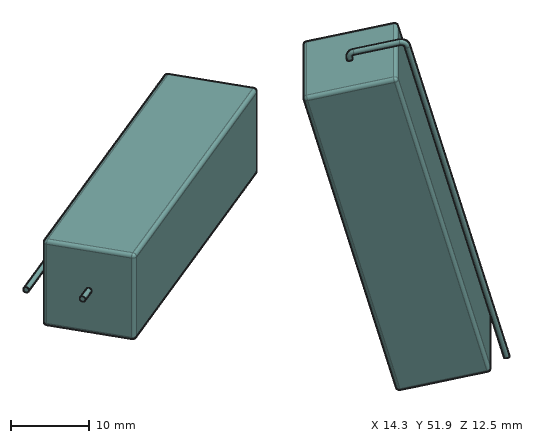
import cadquery as cq

body_side = 12.5
body_length = 48.05
edge_radius = 0.5

wire_diameter = 0.8
front_reach = 2.45
back_reach = 1.4
overall_width = 14.25
bend_radius = 0.8

wire_radius = wire_diameter / 2
front_face = -body_length / 2
back_face = body_length / 2
lead_end = front_face - front_reach
return_x = body_side / 2 - overall_width + wire_radius
crossing_y = back_face + back_reach - wire_radius
embed_depth = 0.5


def make_body():
    """Square block with all edges rounded."""
    block = cq.Workplane("XY").box(body_side, body_length, body_side)
    return block.edges().fillet(edge_radius)


def make_straight_lead():
    """Short pin at the centre of the front face."""
    pin = cq.Workplane("XZ", origin=(0, lead_end, 0)).circle(wire_radius)
    return pin.extrude(-(front_reach + embed_depth))


def make_bent_lead():
    """Wire from the back face, bent twice to run forward beside the body."""
    bend_start = crossing_y - bend_radius
    path = (
        cq.Workplane("XY")
        .moveTo(return_x, lead_end)
        .lineTo(return_x, bend_start)
        .tangentArcPoint((return_x + bend_radius, crossing_y), relative=False)
        .lineTo(-bend_radius, crossing_y)
        .tangentArcPoint((0, bend_start), relative=False)
        .lineTo(0, back_face - embed_depth)
    )
    profile = cq.Workplane("XZ", origin=(return_x, lead_end, 0)).circle(wire_radius)
    return profile.sweep(path)


result = make_body().union(make_straight_lead()).union(make_bent_lead())